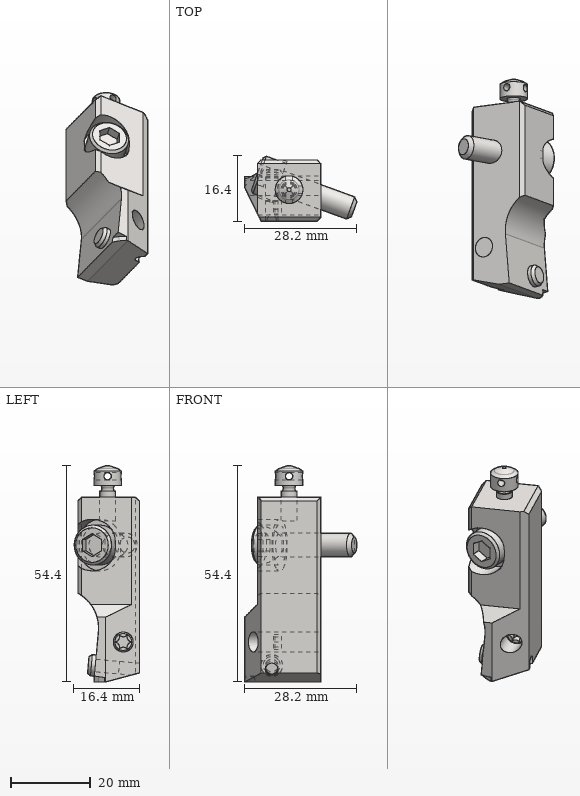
import cadquery as cq
import math


half_width = 8.0
front_y = -8.0
back_y = 7.5
block_top = 46.5
edge_chamfer = 1.0
front_top_chamfer = 1.15
bottom_slope = 15.0
slant_ratio = 0.49

foot_x = -11.15
foot_edge_y = 0.5
foot_shoulder_z = 16.3
foot_reach = -half_width - foot_x
slant_block_y = foot_edge_y - foot_reach / slant_ratio
slant_front_x = foot_x + (foot_edge_y - front_y) * slant_ratio

seat_tilt = math.radians(5.0)
seat_bottom_y = 3.5
seat_top_z = 12.8
runout_radius = 9.85

tip_relief_height = 1.15
tip_relief_start_y = 0.8
tip_relief_bend_y = 2.35
tip_relief_bend_depth = 1.3
tip_relief_end_depth = 2.6
tip_relief_roof_rise = 0.4

clamp_turn = 20.0
clamp_z = 34.4
clamp_axis_y = 1.05
clamp_face_x = -half_width
clamp_length = 25.95
clamp_head_radius = 5.0
clamp_head_length = 6.0
clamp_head_chamfer = 0.65
clamp_shank_radius = 3.0
clamp_tip_chamfer = 1.0
hex_across_flats = 5.0
hex_depth = 2.5
counterbore_radius = 5.5
counterbore_height = 12.95
cut_clearance = 10.85

knob_radius = 3.5
knob_bottom = 49.35
knob_edge_z = 53.0
dome_step_radius = 2.5
dome_step_z = 53.65
dome_flat_radius = 0.5
total_height = 54.35
bar_hole_diameter = 1.8
bar_hole_z = 51.7
neck_radius = 1.5
neck_flare_radius = 1.7
neck_top = 48.85
neck_bottom = 48.45
stem_radius = 2.0
stem_top = 47.95
stem_depth = 6.0

setting_y = -3.9
setting_z = 10.05
setting_radius = 2.5
setting_length = 11.95
lobe_tip_radius = 2.2
lobe_valley_radius = 1.3
lobe_count = 6
lobe_depth = 2.0
setting_chamfer = 0.4

insert_screw_x = -4.35
insert_screw_z = 4.15
insert_screw_radius = 1.6
insert_screw_length = 6.0
insert_head_radius = 2.7
insert_head_rim = 1.0
insert_head_height = 1.8
insert_head_face_radius = 2.1


def seat_y(z):
    return seat_bottom_y - z * math.tan(seat_tilt)


clamp_plane = cq.Plane(
    origin=(clamp_face_x, clamp_axis_y - clamp_face_x * math.tan(math.radians(clamp_turn)), clamp_z),
    xDir=(0, 0, 1),
    normal=(math.cos(math.radians(clamp_turn)), -math.sin(math.radians(clamp_turn)), 0),
)
insert_plane = cq.Plane(
    origin=(insert_screw_x, seat_y(insert_screw_z), insert_screw_z),
    xDir=(1, 0, 0),
    normal=(0, math.cos(seat_tilt), math.sin(seat_tilt)),
)


def block_and_foot():
    inner_x = half_width - edge_chamfer
    block = (
        cq.Workplane("XY")
        .polyline([
            (-half_width, slant_block_y),
            (slant_front_x, front_y),
            (inner_x, front_y),
            (half_width, front_y + edge_chamfer),
            (half_width, back_y - edge_chamfer),
            (inner_x, back_y),
            (-inner_x, back_y),
            (-half_width, back_y - edge_chamfer),
        ])
        .close()
        .extrude(block_top)
    )
    foot_top = foot_shoulder_z + foot_reach
    foot = (
        cq.Workplane("XY")
        .polyline([
            (foot_x, foot_edge_y),
            (-half_width, slant_block_y),
            (-half_width, back_y - edge_chamfer),
            (foot_x, back_y - edge_chamfer),
        ])
        .close()
        .extrude(foot_top)
    )
    shoulder = (
        cq.Workplane("XZ", origin=(0, back_y, 0))
        .polyline([(foot_x, foot_shoulder_z), (-half_width, foot_top), (foot_x, foot_top)])
        .close()
        .extrude(back_y - front_y)
    )
    return block.union(foot.cut(shoulder))


def side_profile():
    """Prism along X with the sloped bottom, leaning seat, round run-out and top chamfers."""
    centre_y = seat_y(seat_top_z) + runout_radius * math.cos(seat_tilt)
    centre_z = seat_top_z + runout_radius * math.sin(seat_tilt)
    end_angle = math.acos((back_y - centre_y) / runout_radius)
    middle_angle = (math.pi + seat_tilt + end_angle) / 2

    def on_runout(angle):
        return (centre_y + runout_radius * math.cos(angle), centre_z + runout_radius * math.sin(angle))

    front_bottom = (foot_edge_y - front_y) * math.tan(math.radians(bottom_slope))
    return (
        cq.Workplane("YZ", origin=(foot_x, 0, 0))
        .moveTo(front_y, front_bottom)
        .lineTo(foot_edge_y, 0)
        .lineTo(seat_bottom_y, 0)
        .lineTo(seat_y(seat_top_z), seat_top_z)
        .threePointArc(on_runout(middle_angle), on_runout(end_angle))
        .lineTo(back_y, block_top - edge_chamfer)
        .lineTo(back_y - edge_chamfer, block_top)
        .lineTo(front_y + front_top_chamfer, block_top)
        .lineTo(front_y, block_top - edge_chamfer)
        .close()
        .extrude(half_width - foot_x)
    )


def tip_relief():
    plan = (
        cq.Workplane("XY")
        .polyline([
            (foot_x, tip_relief_start_y),
            (foot_x + tip_relief_bend_depth, tip_relief_bend_y),
            (foot_x + tip_relief_end_depth, seat_bottom_y),
            (foot_x, seat_bottom_y),
        ])
        .close()
        .extrude(tip_relief_height + tip_relief_roof_rise)
    )
    under_sloped_roof = (
        cq.Workplane("YZ", origin=(foot_x, 0, 0))
        .polyline([
            (tip_relief_start_y, 0),
            (seat_bottom_y, 0),
            (seat_bottom_y, tip_relief_height + tip_relief_roof_rise),
            (tip_relief_start_y, tip_relief_height),
        ])
        .close()
        .extrude(tip_relief_end_depth)
    )
    return plan.intersect(under_sloped_roof)


def clamp_pocket():
    shank_hole = (
        cq.Workplane(clamp_plane)
        .circle(clamp_shank_radius)
        .extrude(clamp_length + cut_clearance)
    )
    counterbore = (
        cq.Workplane(clamp_plane)
        .workplane(offset=-cut_clearance)
        .slot2D(counterbore_height, 2 * counterbore_radius)
        .extrude(cut_clearance + clamp_head_length)
    )
    return shank_hole.union(counterbore)


def setting_hole():
    return (
        cq.Workplane("YZ", origin=(foot_x, setting_y, setting_z))
        .circle(setting_radius)
        .extrude(half_width - foot_x)
    )


def insert_screw_hole():
    return cq.Workplane(insert_plane).circle(insert_screw_radius).extrude(-(back_y - front_y))


def stem_hole():
    return (
        cq.Workplane("XY", origin=(0, 0, block_top - stem_depth))
        .circle(stem_radius)
        .extrude(stem_depth)
    )


def make_cartridge():
    return (
        block_and_foot()
        .intersect(side_profile())
        .cut(tip_relief())
        .cut(clamp_pocket())
        .cut(setting_hole())
        .cut(insert_screw_hole())
        .cut(stem_hole())
    )


def make_clamp_screw():
    head = (
        cq.Workplane(clamp_plane)
        .circle(clamp_head_radius)
        .extrude(clamp_head_length)
        .faces("<X")
        .chamfer(clamp_head_chamfer)
    )
    shank = (
        cq.Workplane(clamp_plane)
        .circle(clamp_shank_radius)
        .extrude(clamp_length)
        .faces(">X")
        .chamfer(clamp_tip_chamfer)
    )
    socket = (
        cq.Workplane(clamp_plane)
        .polygon(6, hex_across_flats / math.cos(math.pi / 6))
        .extrude(hex_depth)
    )
    return head.union(shank).cut(socket)


def make_adjusting_screw():
    screw = (
        cq.Workplane("XZ")
        .polyline([
            (0, block_top - stem_depth),
            (stem_radius, block_top - stem_depth),
            (stem_radius, stem_top),
            (neck_flare_radius, stem_top),
            (neck_radius, neck_bottom),
            (neck_radius, neck_top),
            (neck_flare_radius, knob_bottom),
            (knob_radius, knob_bottom),
            (knob_radius, knob_edge_z),
            (dome_step_radius, dome_step_z),
            (dome_flat_radius, total_height),
            (0, total_height),
        ])
        .close()
        .revolve(360, (0, 0), (0, 1))
    )
    for plane in ("XZ", "YZ"):
        bar_hole = (
            cq.Workplane(plane)
            .center(0, bar_hole_z)
            .circle(bar_hole_diameter / 2)
            .extrude(knob_radius, both=True)
        )
        screw = screw.cut(bar_hole)
    return screw


def make_setting_screw():
    socket_plane = cq.Workplane("YZ", origin=(half_width - setting_length, setting_y, setting_z))

    def polar(radius, steps):
        angle = math.pi * steps / lobe_count
        return (radius * math.cos(angle), radius * math.sin(angle))

    star = socket_plane.moveTo(lobe_tip_radius, 0)
    for lobe in range(lobe_count):
        valley = polar(lobe_valley_radius, 2 * lobe + 1)
        star = star.threePointArc(valley, polar(lobe_tip_radius, 2 * lobe + 2))
    socket = star.close().extrude(lobe_depth)
    return (
        socket_plane
        .circle(setting_radius)
        .extrude(setting_length)
        .faces("<X")
        .chamfer(setting_chamfer)
        .cut(socket)
    )


def make_insert_screw():
    shank = cq.Workplane(insert_plane).circle(insert_screw_radius).extrude(-insert_screw_length)
    rim = cq.Workplane(insert_plane).circle(insert_head_radius).extrude(insert_head_rim)
    bevel = (
        cq.Workplane(insert_plane)
        .workplane(offset=insert_head_rim)
        .circle(insert_head_radius)
        .workplane(offset=insert_head_height - insert_head_rim)
        .circle(insert_head_face_radius)
        .loft()
    )
    return shank.union(rim).union(bevel)


cartridge = make_cartridge()
clamp_screw = make_clamp_screw()
adjusting_screw = make_adjusting_screw()
setting_screw = make_setting_screw()
insert_screw = make_insert_screw()

result = cq.Compound.makeCompound([
    cartridge.val(),
    clamp_screw.val(),
    adjusting_screw.val(),
    setting_screw.val(),
    insert_screw.val(),
])